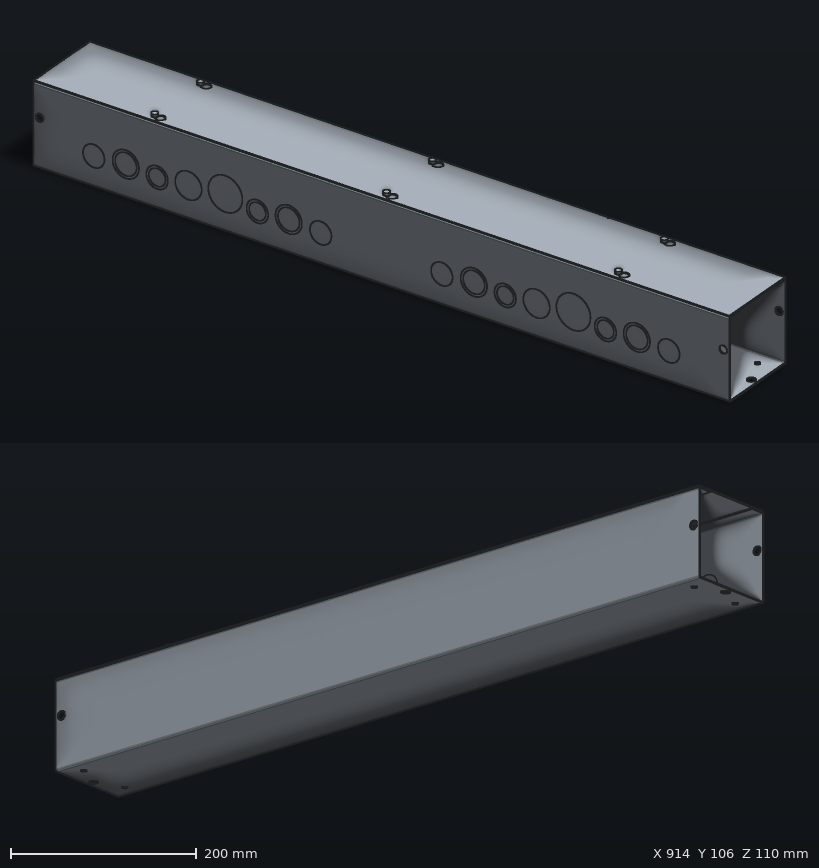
import cadquery as cq

LENGTH = 914.0
WIDTH = 106.0
BOX_HEIGHT = 106.0
SHEET = 1.5
OUTER_BEND = 2.5
INNER_BEND = OUTER_BEND - SHEET
LIP_WIDTH = 18.0
CHANNEL_HEIGHT = BOX_HEIGHT - SHEET

COVER_END_GAP = 0.5
COVER_SIDE_GAP = 0.6
COVER_LENGTH = LENGTH - 2 * COVER_END_GAP
COVER_WIDTH = WIDTH - 2 * COVER_SIDE_GAP
COVER_BOTTOM = CHANNEL_HEIGHT
COVER_TOP = BOX_HEIGHT

TOTAL_HEIGHT = 110.0
SCREW_PITCH = 304.5
SCREW_SPACING = 86.0
SCREW_HEAD_DIAMETER = 8.0
SCREW_SHANK_DIAMETER = 5.0
SCREW_TIP_DIAMETER = 4.1
SCREW_TIP_LENGTH = 2.0
SCREW_BOTTOM = 98.0
SCREW_TIP_TOP = SCREW_BOTTOM + SCREW_TIP_LENGTH
KEYHOLE_SLOT_WIDTH = 6.3
KEYHOLE_ENTRY_DIAMETER = 12.0
KEYHOLE_TRAVEL = 7.0

JOINT_HOLE_DIAMETER = 10.0
JOINT_END_DISTANCE = 8.0
JOINT_HOLE_HEIGHT = 62.0

MOUNT_HOLE_DIAMETER = 6.3
MOUNT_END_DISTANCE = 24.0
MOUNT_SPACING = 68.0

KNOCKOUT_BOTTOM = 24.0
KNOCKOUT_STEP = 0.2
TINY, SMALL, MEDIUM, LARGE = 22.0, 28.0, 35.0, 45.0
KNOCKOUT_ROW = [
    (-149.0, [SMALL]),
    (-107.0, [MEDIUM, SMALL]),
    (-66.0, [SMALL, TINY]),
    (-25.0, [MEDIUM]),
    (24.0, [LARGE]),
    (66.0, [SMALL, TINY]),
    (107.0, [MEDIUM, SMALL]),
    (149.0, [SMALL]),
]
ROW_CENTRES = [-LENGTH / 4, LENGTH / 4]

SCREW_Y = SCREW_SPACING / 2
SCREW_POINTS = [(x, y) for x in (-SCREW_PITCH, 0, SCREW_PITCH) for y in (-SCREW_Y, SCREW_Y)]


def vertical_cylinder(diameter, bottom, top, points):
    base = cq.Workplane("XY", origin=(0, 0, bottom)).pushPoints(points)
    return base.circle(diameter / 2).extrude(top - bottom)


def channel_shell():
    """A bent sheet with rounded corners, open at both ends and between the two lips on top."""
    inner_width = WIDTH - 2 * SHEET
    inner_height = CHANNEL_HEIGHT - 2 * SHEET
    mouth_width = WIDTH - 2 * LIP_WIDTH
    shell = cq.Workplane("XY").box(LENGTH, WIDTH, CHANNEL_HEIGHT, centered=(True, True, False))
    shell = shell.edges("|X").fillet(OUTER_BEND)
    cavity = cq.Workplane("XY", origin=(0, 0, SHEET)).box(
        LENGTH, inner_width, inner_height, centered=(True, True, False)
    )
    cavity = cavity.edges("|X").fillet(INNER_BEND)
    mouth = cq.Workplane("XY", origin=(0, 0, SHEET)).box(
        LENGTH, mouth_width, CHANNEL_HEIGHT, centered=(True, True, False)
    )
    return shell.cut(cavity).cut(mouth)


def joint_holes():
    joint_x = LENGTH / 2 - JOINT_END_DISTANCE
    wall_holes = (
        cq.Workplane("XZ", origin=(0, WIDTH / 2, JOINT_HOLE_HEIGHT))
        .pushPoints([(-joint_x, 0), (joint_x, 0)])
        .circle(JOINT_HOLE_DIAMETER / 2)
        .extrude(WIDTH)
    )
    floor_holes = vertical_cylinder(JOINT_HOLE_DIAMETER, 0, SHEET, [(-joint_x, 0), (joint_x, 0)])
    return wall_holes.union(floor_holes)


def mounting_holes():
    mount_x = LENGTH / 2 - MOUNT_END_DISTANCE
    mount_y = MOUNT_SPACING / 2
    points = [(x, y) for x in (-mount_x, mount_x) for y in (-mount_y, mount_y)]
    return vertical_cylinder(MOUNT_HOLE_DIAMETER, 0, SHEET, points)


def cut_knockout(body, x, diameters):
    """Press one knockout into the -Y wall, each inner ring one step deeper than the outer one."""
    centre_z = KNOCKOUT_BOTTOM + diameters[0] / 2
    for level, diameter in enumerate(diameters, start=1):
        recess = (
            cq.Workplane("XZ", origin=(x, -WIDTH / 2, centre_z))
            .circle(diameter / 2)
            .extrude(-level * KNOCKOUT_STEP)
        )
        body = body.cut(recess)
    return body


def make_channel():
    body = channel_shell().cut(joint_holes()).cut(mounting_holes())
    for row_x in ROW_CENTRES:
        for offset, diameters in KNOCKOUT_ROW:
            body = cut_knockout(body, row_x + offset, diameters)
    screw_holes = vertical_cylinder(
        SCREW_SHANK_DIAMETER, CHANNEL_HEIGHT - SHEET, CHANNEL_HEIGHT, SCREW_POINTS
    )
    return body.cut(screw_holes)


def make_cover():
    """A flat plate whose keyholes let it drop over the screw heads and slide under them."""
    plate = cq.Workplane("XY", origin=(0, 0, COVER_BOTTOM)).box(
        COVER_LENGTH, COVER_WIDTH, SHEET, centered=(True, True, False)
    )
    entry_points = [(x + KEYHOLE_TRAVEL, y) for x, y in SCREW_POINTS]
    entries = vertical_cylinder(KEYHOLE_ENTRY_DIAMETER, COVER_BOTTOM, COVER_TOP, entry_points)
    slot_ends = vertical_cylinder(KEYHOLE_SLOT_WIDTH, COVER_BOTTOM, COVER_TOP, SCREW_POINTS)
    slots = (
        cq.Workplane("XY", origin=(KEYHOLE_TRAVEL / 2, 0, COVER_BOTTOM))
        .pushPoints(SCREW_POINTS)
        .rect(KEYHOLE_TRAVEL, KEYHOLE_SLOT_WIDTH)
        .extrude(SHEET)
    )
    return plate.cut(entries).cut(slot_ends).cut(slots)


def make_screw(point):
    """A screw whose head rests on the cover and whose shank passes through cover and lip."""
    head = vertical_cylinder(SCREW_HEAD_DIAMETER, COVER_TOP, TOTAL_HEIGHT, [point])
    shank = vertical_cylinder(SCREW_SHANK_DIAMETER, SCREW_TIP_TOP, COVER_TOP, [point])
    tip = vertical_cylinder(SCREW_TIP_DIAMETER, SCREW_BOTTOM, SCREW_TIP_TOP, [point])
    return head.union(shank).union(tip)


channel = make_channel()
cover = make_cover()
screws = [make_screw(point) for point in SCREW_POINTS]

result = cq.Compound.makeCompound([channel.val(), cover.val(), *[screw.val() for screw in screws]])